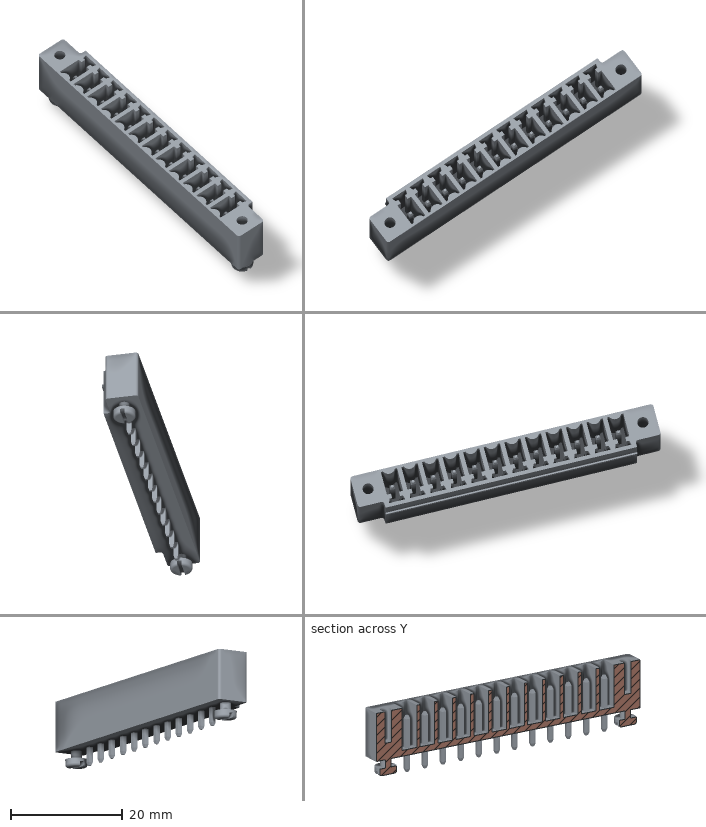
import cadquery as cq

PIN_COUNT = 12
PITCH = 3.81
PIN_SIZE = 0.85
PIN_BOTTOM = -3.4
PIN_TOP = 7.3
PIN_TIP_LENGTH = 0.6
PIN_TIP_SIZE = 0.45

HEIGHT = 9.2
DEPTH = 7.25
FLANGE_DEPTH = 6.0
PIN_SPAN = (PIN_COUNT - 1) * PITCH
SCREW_TO_PIN = 4.5
SCREW_TO_END = 2.6
PIN_TO_STEP = 2.35
SCREW_X = PIN_SPAN / 2 + SCREW_TO_PIN
HALF_LENGTH = SCREW_X + SCREW_TO_END
BACK_HALF_LENGTH = PIN_SPAN / 2 + PIN_TO_STEP
CORNER_RADIUS = 0.5
PIN_Y = 3.0

RIDGE_DEPTH = 0.3
RIDGE_HEIGHT = 0.6
RIDGE_Z = 6.0

FLOOR_Z = 1.2
CHAMBER_WIDTH = 3.0
CHAMBER_FRONT = 0.5
SHOULDER_Y = 4.9
NECK_WIDTH = 1.5
CHAMBER_HEAD_Y = 5.75
CHAMBER_HEAD_WIDTH = 2.5
CHAMBER_BACK = 6.55
KEY_WIDTH = 2.2
KEY_HEIGHT = 0.7

HOLE_DIAMETER = 2.0
HOLE_DEPTH = 6.0
SHANK_DIAMETER = 2.0
SCREW_HEAD_DIAMETER = 4.0
SCREW_HEAD_TOP = -1.5
SCREW_HEAD_BOTTOM = -2.9
SCREW_HEAD_ROUNDING = 0.45
SLOT_WIDTH = 0.8
SLOT_DEPTH = 0.8


def make_housing():
    """Flanged block with rounded vertical edges and a ridge along its back."""
    flanges = cq.Workplane("XY").box(2 * HALF_LENGTH, FLANGE_DEPTH, HEIGHT, centered=(True, False, False))
    flanges = flanges.edges("|Z").fillet(CORNER_RADIUS)
    middle = cq.Workplane("XY").box(2 * BACK_HALF_LENGTH, DEPTH, HEIGHT, centered=(True, False, False))
    block = flanges.union(middle)
    inner_corners = cq.selectors.BoxSelector(
        (-BACK_HALF_LENGTH - CORNER_RADIUS, FLANGE_DEPTH - CORNER_RADIUS, 0),
        (BACK_HALF_LENGTH + CORNER_RADIUS, FLANGE_DEPTH + CORNER_RADIUS, HEIGHT),
    )
    block = block.edges("|Z").edges(inner_corners).fillet(CORNER_RADIUS)
    ridge = cq.Workplane("XY").box(
        2 * BACK_HALF_LENGTH, DEPTH + RIDGE_DEPTH - CHAMBER_BACK, RIDGE_HEIGHT, centered=(True, False, True)
    )
    return block.union(ridge.translate((0, CHAMBER_BACK, RIDGE_Z)))


def make_chamber(x):
    """Chamber void with a keyhole-like rear end and a rounded key on the front wall."""
    half_chamber = CHAMBER_WIDTH / 2
    half_neck = NECK_WIDTH / 2
    half_head = CHAMBER_HEAD_WIDTH / 2
    half_key = KEY_WIDTH / 2
    outline = (
        cq.Workplane("XY", origin=(x, 0, FLOOR_Z))
        .moveTo(-half_chamber, CHAMBER_FRONT)
        .lineTo(-half_key, CHAMBER_FRONT)
        .threePointArc((0, CHAMBER_FRONT + KEY_HEIGHT), (half_key, CHAMBER_FRONT))
        .lineTo(half_chamber, CHAMBER_FRONT)
        .lineTo(half_chamber, SHOULDER_Y)
        .lineTo(half_neck, SHOULDER_Y)
        .lineTo(half_neck, CHAMBER_HEAD_Y)
        .lineTo(half_head, CHAMBER_HEAD_Y)
        .lineTo(half_chamber, CHAMBER_BACK)
        .lineTo(-half_chamber, CHAMBER_BACK)
        .lineTo(-half_head, CHAMBER_HEAD_Y)
        .lineTo(-half_neck, CHAMBER_HEAD_Y)
        .lineTo(-half_neck, SHOULDER_Y)
        .lineTo(-half_chamber, SHOULDER_Y)
        .close()
    )
    return outline.extrude(HEIGHT - FLOOR_Z)


def make_pin_tip(x, base_z, direction):
    """Tapered pin end that grows from base_z up (direction 1) or down (direction -1)."""
    return (
        cq.Workplane("XY", origin=(x, PIN_Y, base_z))
        .rect(PIN_SIZE, PIN_SIZE)
        .workplane(offset=direction * PIN_TIP_LENGTH)
        .rect(PIN_TIP_SIZE, PIN_TIP_SIZE)
        .loft(ruled=True)
    )


def make_pin(x):
    """Square contact pin tapered at both ends."""
    shaft_bottom = PIN_BOTTOM + PIN_TIP_LENGTH
    shaft_top = PIN_TOP - PIN_TIP_LENGTH
    shaft = (
        cq.Workplane("XY", origin=(x, PIN_Y, shaft_bottom))
        .rect(PIN_SIZE, PIN_SIZE)
        .extrude(shaft_top - shaft_bottom)
    )
    return shaft.union(make_pin_tip(x, shaft_bottom, -1)).union(make_pin_tip(x, shaft_top, 1))


def make_screw(x):
    """Exposed shank and slotted round head below the housing."""
    head = (
        cq.Workplane("XY", origin=(x, PIN_Y, SCREW_HEAD_BOTTOM))
        .circle(SCREW_HEAD_DIAMETER / 2)
        .extrude(SCREW_HEAD_TOP - SCREW_HEAD_BOTTOM)
        .faces("<Z").edges().fillet(SCREW_HEAD_ROUNDING)
    )
    slot = (
        cq.Workplane("XY", origin=(x, PIN_Y, SCREW_HEAD_BOTTOM))
        .rect(SCREW_HEAD_DIAMETER, SLOT_WIDTH)
        .extrude(SLOT_DEPTH)
    )
    shank = (
        cq.Workplane("XY", origin=(x, PIN_Y, SCREW_HEAD_TOP))
        .circle(SHANK_DIAMETER / 2)
        .extrude(-SCREW_HEAD_TOP)
    )
    return head.cut(slot).union(shank)


def make_screw_hole(x):
    """Blind hole into the flange from the top."""
    bottom = HEIGHT - HOLE_DEPTH
    return cq.Workplane("XY", origin=(x, PIN_Y, bottom)).circle(HOLE_DIAMETER / 2).extrude(HOLE_DEPTH)


result = make_housing()

for index in range(PIN_COUNT):
    pin_x = index * PITCH - PIN_SPAN / 2
    result = result.cut(make_chamber(pin_x)).union(make_pin(pin_x))

for screw_x in (-SCREW_X, SCREW_X):
    result = result.cut(make_screw_hole(screw_x)).union(make_screw(screw_x))